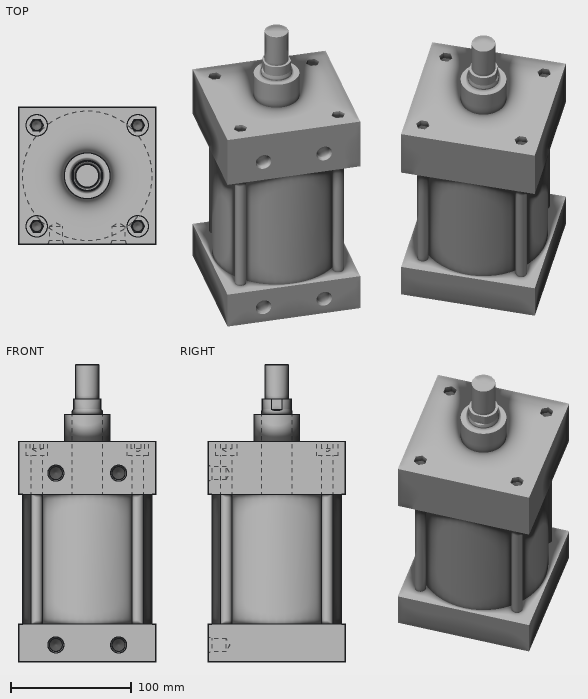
import cadquery as cq
import math

side = 114.5
base_height = 31.5
head_bottom = 139.7
head_top = 183.8
overall_height = 247.6

barrel_radius = 54.0

bolt_offset = 42.0
bolt_radius = 4.7
bolt_head_radius = 9.0
bolt_head_height = 12.0
socket_across_flats = 10.0
socket_depth = 6.0
socket_drill_radius = 4.5

port_spacing = 52.3
base_port_z = 14.0
head_port_z = 157.3
port_radius = 5.5
port_mouth_radius = 6.7
port_mouth_depth = 3.2
port_depth = 14.9
drill_point_angle = 118.0

flange_radius = 35.0
flange_height = 10.0
boss_radius = 19.0
boss_top = 206.3

rod_radius = 13.0
taper_bottom = 207.5
neck_bottom = 210.5
neck_radius = 12.1
neck_top = 219.2
flat_width = 22.5
stud_radius = 10.0
stud_chamfer = 0.37


def cylinder(radius, bottom, top):
    return cq.Workplane("XY").workplane(offset=bottom).circle(radius).extrude(top - bottom)


def block(bottom, top):
    return cq.Workplane("XY").workplane(offset=bottom).rect(side, side).extrude(top - bottom)


def cone_height(radius):
    return radius / math.tan(math.radians(drill_point_angle / 2))


def port(x, z):
    """Blind drilled port with a countersunk mouth, drilled inwards from the -Y face."""
    profile = [
        (0, 0),
        (port_mouth_radius, 0),
        (port_radius, port_mouth_depth),
        (port_radius, port_depth),
        (0, port_depth + cone_height(port_radius)),
    ]
    hole = cq.Workplane("XY").polyline(profile).close().revolve(360, (0, 0, 0), (0, 1, 0))
    return hole.translate((x, -side / 2, z))


def ports(z):
    return port(-port_spacing / 2, z).union(port(port_spacing / 2, z))


def bolt_envelope():
    """One bolt without its socket, on the Z axis; also the hole for it in the head."""
    shank = cylinder(bolt_radius, base_height, head_top)
    return shank.union(cylinder(bolt_head_radius, head_top - bolt_head_height, head_top))


def bolt_socket():
    """Hexagon socket with a drilled cone at the bottom, on the Z axis."""
    floor = head_top - socket_depth
    hexagon = cq.Workplane("XY").workplane(offset=floor)
    hexagon = hexagon.polygon(6, socket_across_flats / math.cos(math.pi / 6)).extrude(socket_depth)
    tip = floor - cone_height(socket_drill_radius)
    cone = cq.Workplane("XZ").polyline([(0, floor), (socket_drill_radius, floor), (0, tip)]).close()
    return hexagon.union(cone.revolve(360, (0, 0, 0), (0, 1, 0)))


bolt_places = [(x, y) for x in (-bolt_offset, bolt_offset) for y in (-bolt_offset, bolt_offset)]


def gland():
    flange = cylinder(flange_radius, head_top - flange_height, head_top)
    return flange.union(cylinder(boss_radius, head_top, boss_top))


def make_base():
    """Lower cap with the four tie bolts standing on it."""
    base = block(0, base_height).cut(ports(base_port_z))
    bolt = bolt_envelope().cut(bolt_socket())
    for x, y in bolt_places:
        base = base.union(bolt.translate((x, y, 0)))
    return base


def make_barrel():
    return cylinder(barrel_radius, base_height, head_bottom)


def make_head():
    """Upper cap with its rod gland, bored for the rod and for the tie bolts."""
    head = block(head_bottom, head_top).cut(ports(head_port_z))
    for x, y in bolt_places:
        head = head.cut(bolt_envelope().translate((x, y, 0)))
    head = head.cut(cylinder(rod_radius, head_bottom, head_top))
    bored_gland = gland().cut(cylinder(rod_radius, head_bottom, boss_top))
    return head.union(bored_gland, clean=False)


def wrench_flat():
    """Cutter for the flat on the +X side of the neck; its lower end slopes down outwards at 45 degrees."""
    inner = flat_width / 2
    run_out = rod_radius - inner
    profile = [
        (inner, neck_bottom),
        (rod_radius, neck_bottom - run_out),
        (rod_radius, neck_top),
        (inner, neck_top),
    ]
    return cq.Workplane("XZ").polyline(profile).close().extrude(rod_radius, both=True)


def make_rod():
    """Piston rod from the barrel up through the head, ending in a stud."""
    profile = [
        (0, head_bottom),
        (rod_radius, head_bottom),
        (rod_radius, taper_bottom),
        (neck_radius, neck_bottom),
        (neck_radius, neck_top),
        (stud_radius, neck_top),
        (stud_radius, overall_height - stud_chamfer),
        (stud_radius - stud_chamfer, overall_height),
        (0, overall_height),
    ]
    rod = cq.Workplane("XZ").polyline(profile).close().revolve(360, (0, 0, 0), (0, 1, 0))
    return rod.cut(wrench_flat()).cut(wrench_flat().mirror("YZ"))


base = make_base()
barrel = make_barrel()
head = make_head()
rod = make_rod()
result = cq.Compound.makeCompound([base.val(), barrel.val(), head.val(), rod.val()])